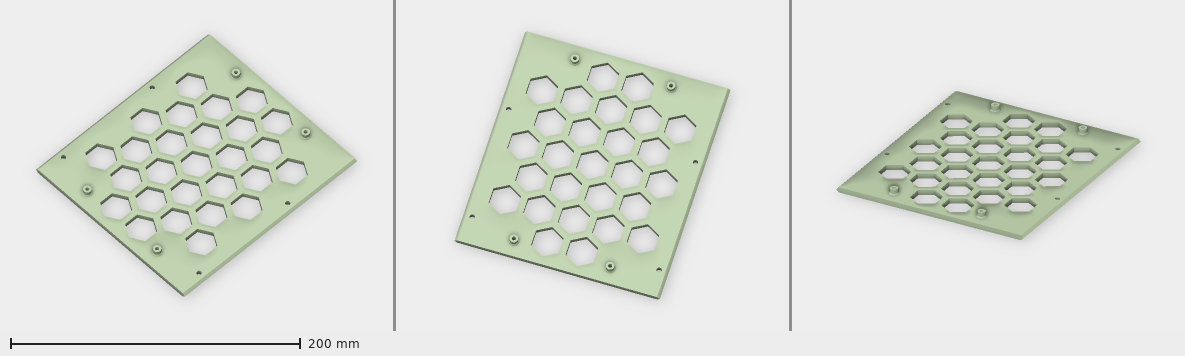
import cadquery as cq
import math

plate_width = 148.5
plate_length = 164.8
overall_height = 8.0
plate_thickness = 4.0
bevel_width = plate_thickness / 2

hex_side = 11.5
hex_across_flats = hex_side * math.sqrt(3)
hex_wall = hex_across_flats / 4
hex_pitch = hex_across_flats + hex_wall
windows_per_row = (2, 5, 4, 5, 4, 5, 2)

standoff_diameter = 6.0
standoff_bore = 2.8
standoff_base_flare = 1.0
standoff_spacing_x = 69.5
standoff_spacing_y = 142.3

mounting_hole_diameter = 3.6
mounting_spacing_x = 135.2
mounting_spacing_y = 84.9
mounting_center_y = -20.0


def make_plate():
    """Extrude the bevelled cross-section along Y, with its underside on Z = 0."""
    ridge_x = plate_width / 2
    face_x = ridge_x - bevel_width
    section = [
        (-face_x, 0),
        (face_x, 0),
        (ridge_x, plate_thickness / 2),
        (face_x, plate_thickness),
        (-face_x, plate_thickness),
        (-ridge_x, plate_thickness / 2),
    ]
    return cq.Workplane("XZ").polyline(section).close().extrude(plate_length / 2, both=True)


def window_centers():
    """Centres of the hexagons on a triangular grid, each row centred on X = 0."""
    row_pitch = hex_pitch * math.sqrt(3) / 2
    middle_row = (len(windows_per_row) - 1) / 2
    centers = []
    for row, count in enumerate(windows_per_row):
        y = (middle_row - row) * row_pitch
        for column in range(count):
            x = (column - (count - 1) / 2) * hex_pitch
            centers.append((x, y))
    return centers


def make_windows():
    window = (
        cq.Workplane("XY")
        .polygon(6, 2 * hex_side)
        .extrude(plate_thickness)
        .rotate((0, 0, 0), (0, 0, 1), 30)
        .val()
    )
    return cq.Workplane("XY").pushPoints(window_centers()).eachpoint(window)


def make_cylinders(diameter, height, spacing_x, spacing_y, center_y=0):
    """Four upright cylinders from Z = 0 at the corners of a rectangle."""
    return (
        cq.Workplane("XY")
        .center(0, center_y)
        .rarray(spacing_x, spacing_y, 2, 2)
        .circle(diameter / 2)
        .extrude(height)
    )


standoffs = make_cylinders(
    standoff_diameter, overall_height, standoff_spacing_x, standoff_spacing_y
)
standoff_bores = make_cylinders(standoff_bore, overall_height, standoff_spacing_x, standoff_spacing_y)
mounting_holes = make_cylinders(
    mounting_hole_diameter, plate_thickness, mounting_spacing_x, mounting_spacing_y, mounting_center_y
)

result = (
    make_plate()
    .cut(make_windows())
    .union(standoffs)
    .edges("%CIRCLE")
    .edges("<Z")
    .chamfer(standoff_base_flare)
    .cut(standoff_bores)
    .cut(mounting_holes)
)